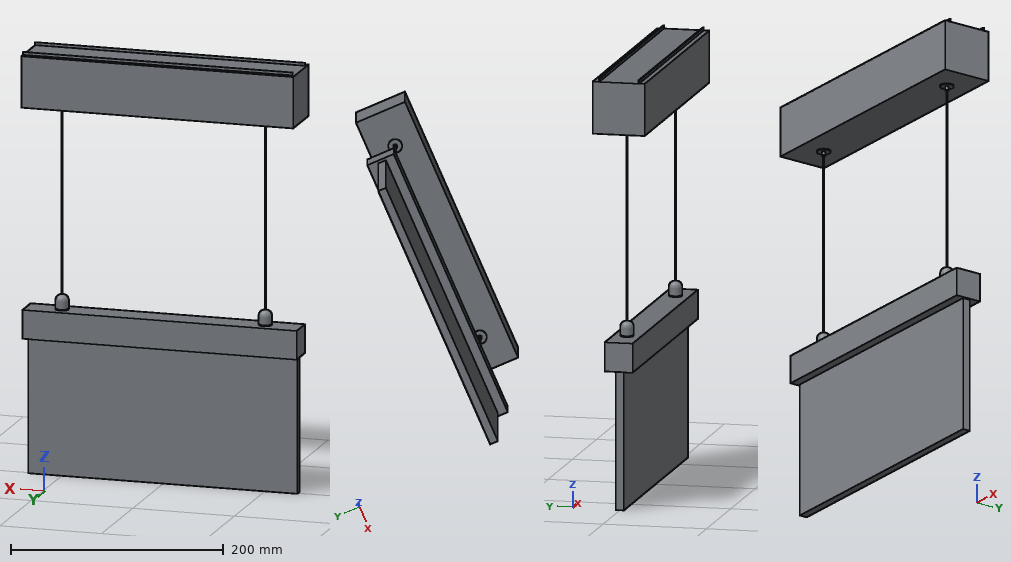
import cadquery as cq
import math

canopy_length = 267.5
canopy_width = 50.3
canopy_height = 50.0
rail_height = 2.8
rail_thickness = 1.0
rail_spacing = 38.5
rail_end_gap = 2.0

header_length = 270.0
header_width = 27.0
header_height = 28.0
panel_length = 265.0
panel_thickness = 8.0
panel_offset = -0.5
panel_height = 133.0
panel_left_gap = 2.5

suspension_spacing = 200.0
overall_height = 413.3
wire_diameter = 1.5
washer_diameter = 13.0
washer_thickness = 1.0
ferrule_diameter = 3.5
ferrule_length = 3.6
gland_foot_diameter = 12.0
gland_foot_height = 1.0
gland_diameter = 13.0
gland_body_height = 7.9
dome_radius = (gland_diameter - wire_diameter) / 2

header_bottom = panel_height
header_top = header_bottom + header_height
canopy_top = overall_height - rail_height
canopy_bottom = canopy_top - canopy_height

left_end = -header_length / 2


def block(left, length, width, bottom, height):
    """Box starting at X = left and Z = bottom, centred on Y = 0."""
    return (
        cq.Workplane("XY")
        .box(length, width, height, centered=(False, True, False))
        .translate((left, 0, bottom))
    )


def make_canopy():
    canopy = block(left_end, canopy_length, canopy_width, canopy_bottom, canopy_height)
    rail_length = canopy_length - rail_end_gap
    for side in (-1, 1):
        rail = block(left_end + rail_end_gap, rail_length, rail_thickness, canopy_top, rail_height)
        canopy = canopy.union(rail.translate((0, side * rail_spacing / 2, 0)))
    return canopy


def make_sign():
    header = block(left_end, header_length, header_width, header_bottom, header_height)
    panel = block(left_end + panel_left_gap, panel_length, panel_thickness, 0, panel_height)
    return header.union(panel.translate((0, panel_offset, 0)))


def make_suspension(x):
    """Round profile turned about a vertical axis, from the header up to the canopy."""
    body_bottom = header_top + gland_foot_height
    dome_bottom = body_bottom + gland_body_height
    dome_top = dome_bottom + dome_radius
    washer_bottom = canopy_bottom - washer_thickness
    ferrule_bottom = washer_bottom - ferrule_length
    wire_radius = wire_diameter / 2
    arc_middle = dome_radius * math.sqrt(0.5)
    profile = (
        cq.Workplane("XZ")
        .moveTo(0, header_top)
        .lineTo(gland_foot_diameter / 2, header_top)
        .lineTo(gland_foot_diameter / 2, body_bottom)
        .lineTo(gland_diameter / 2, body_bottom)
        .lineTo(gland_diameter / 2, dome_bottom)
        .threePointArc((wire_radius + arc_middle, dome_bottom + arc_middle), (wire_radius, dome_top))
        .lineTo(wire_radius, ferrule_bottom)
        .lineTo(ferrule_diameter / 2, ferrule_bottom)
        .lineTo(ferrule_diameter / 2, washer_bottom)
        .lineTo(washer_diameter / 2, washer_bottom)
        .lineTo(washer_diameter / 2, canopy_bottom)
        .lineTo(0, canopy_bottom)
        .close()
    )
    return profile.revolve(360, (0, 0, 0), (0, 1, 0)).translate((x, 0, 0))


canopy = make_canopy()
sign = make_sign()
suspensions = [make_suspension(side * suspension_spacing / 2) for side in (-1, 1)]

result = cq.Compound.makeCompound(
    [canopy.val(), sign.val(), *[suspension.val() for suspension in suspensions]]
)